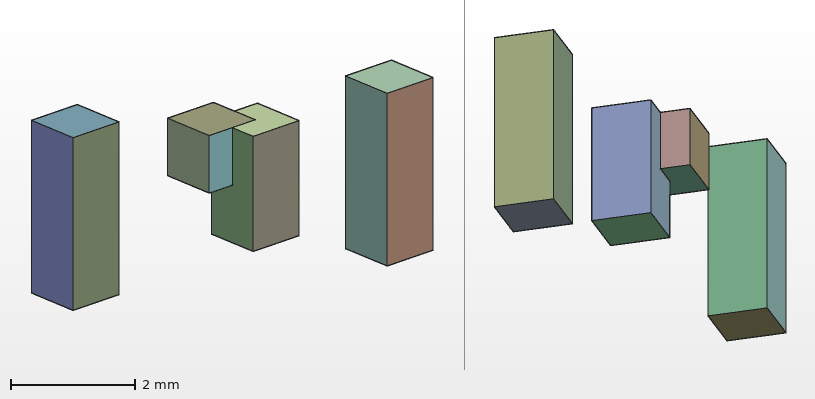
import cadquery as cq

LENGTH = 6.0
WIDTH = LENGTH / 6
HALF = WIDTH / 2
POST_HEIGHT = 3 * WIDTH
COLUMN_HEIGHT = 2 * WIDTH

POST_CORNERS = [
    (0, 0, 0),
    (2 * WIDTH, LENGTH - WIDTH, 0),
]
COLUMN_CORNER = (WIDTH, 3 * WIDTH, HALF)
CUBE_CORNER = (
    COLUMN_CORNER[0] - HALF,
    COLUMN_CORNER[1] - HALF,
    COLUMN_CORNER[2] + COLUMN_HEIGHT - WIDTH,
)


def square_bar(corner, height):
    """Upright square bar with its lowest corner at the given point."""
    return cq.Workplane("XY").box(WIDTH, WIDTH, height, centered=False).translate(corner)


def make_post(corner):
    """Tall end post."""
    return square_bar(corner, POST_HEIGHT)


def make_cube():
    """Cube seated in the column's upper corner."""
    return square_bar(CUBE_CORNER, WIDTH)


def make_column(cube):
    """Middle column, notched to receive the cube."""
    return square_bar(COLUMN_CORNER, COLUMN_HEIGHT).cut(cube)


posts = [make_post(corner) for corner in POST_CORNERS]
cube = make_cube()
column = make_column(cube)

result = cq.Compound.makeCompound([*[post.val() for post in posts], cube.val(), *column.vals()])